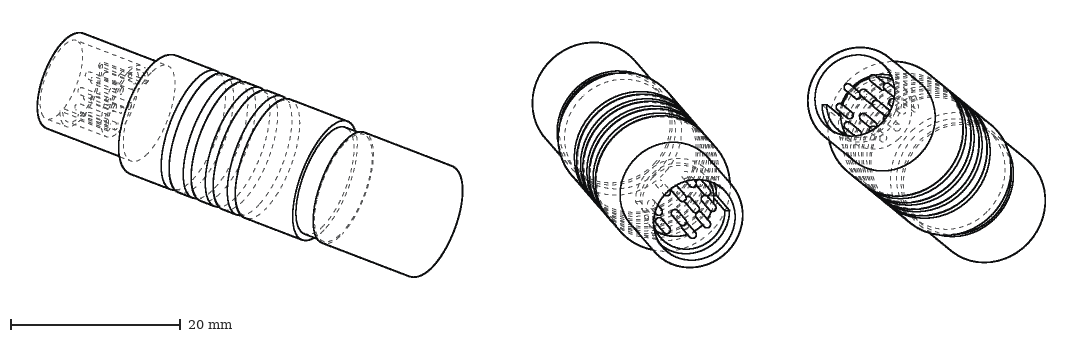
import cadquery as cq
import math

length = 51.0
plug_radius = 6.0
plug_length = 12.0
body_radius = 7.5
body_end = 36.0
neck_radius = 6.75
neck_end = 38.5
rear_radius = 7.0
edge_round = 0.6

groove_count = 4
groove_first = 18.05
groove_pitch = 3.0
groove_width = 1.05
groove_slope_length = 0.55
groove_slope_depth = 0.25

bore_radius = 4.95
bore_depth = 9.0
insulator_radius = 4.4
insulator_face = 8.0
key_start = 2.7

pin_radius = 0.435
pin_tip = 3.8
pin_circle_radius = 3.25
paired_pin_angles = [37.4, 74.8, 134.4]
inner_pin_y = -1.2
inner_pair_y = 0.35
inner_pair_z = 1.5


def cylinder(radius, start, end):
    """Solid cylinder along X between two x positions."""
    return cq.Workplane("YZ", origin=(start, 0, 0)).circle(radius).extrude(end - start)


def make_shell():
    """Stepped outer shape with rounded end edges."""
    plug = cylinder(plug_radius, 0, plug_length).faces("<X").edges().fillet(edge_round)
    body = cylinder(body_radius, plug_length, body_end).faces("<X").edges().fillet(edge_round)
    neck = cylinder(neck_radius, body_end, neck_end)
    rear = cylinder(rear_radius, neck_end, length).faces(">X").edges().fillet(edge_round)
    return plug.union(body).union(neck).union(rear)


def make_groove(start):
    """Ring that cuts one grip groove: a conical slope running smoothly into an arc."""
    section = (
        cq.Workplane("XY")
        .moveTo(start, body_radius)
        .lineTo(start + groove_slope_length, body_radius - groove_slope_depth)
        .tangentArcPoint((start + groove_width, body_radius), relative=False)
        .close()
    )
    return section.revolve(360, (0, 0, 0), (1, 0, 0))


def make_mouth():
    """Bore of the plug, leaving the insulator standing on its floor."""
    bore = cylinder(bore_radius, 0, bore_depth)
    return bore.cut(cylinder(insulator_radius, insulator_face, bore_depth))


def make_key():
    """Half ring standing on the lower half of the bore wall."""
    ring = cylinder(bore_radius, key_start, bore_depth).cut(cylinder(insulator_radius, key_start, bore_depth))
    lower_half = cq.Workplane("XY").box(
        bore_depth, 2 * bore_radius, bore_radius, centered=(False, True, False)
    ).translate((0, 0, -bore_radius))
    return ring.intersect(lower_half)


def make_pin(y, z):
    """Contact pin rooted in the insulator."""
    dome_center = pin_tip + pin_radius
    pin = cylinder(pin_radius, dome_center, bore_depth)
    dome = cq.Workplane("XY").sphere(pin_radius).translate((dome_center, 0, 0))
    return pin.union(dome).translate((0, y, z))


def pin_positions():
    """(y, z) of every pin: three on the plane z = 0, the others in mirrored pairs."""
    positions = [(-pin_circle_radius, 0), (pin_circle_radius, 0), (inner_pin_y, 0)]
    pairs = [(inner_pair_y, inner_pair_z)]
    for angle in paired_pin_angles:
        turn = math.radians(angle)
        pairs.append((-pin_circle_radius * math.cos(turn), pin_circle_radius * math.sin(turn)))
    for y, z in pairs:
        positions += [(y, z), (y, -z)]
    return positions


result = make_shell()
for index in range(groove_count):
    result = result.cut(make_groove(groove_first + index * groove_pitch))
result = result.cut(make_mouth()).union(make_key())
for y, z in pin_positions():
    result = result.union(make_pin(y, z))